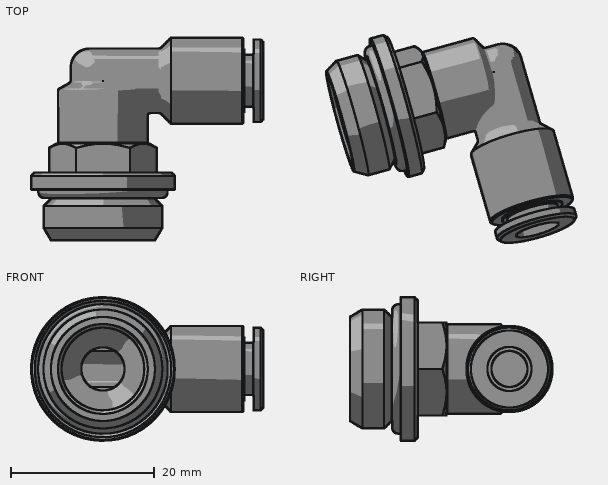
import cadquery as cq
import math


thread_radius = 8.27
thread_tip_radius = 7.25
thread_start = 1.75
thread_end = 4.78
neck_radius = thread_tip_radius
flange_radius = 20.0 / 2
flange_start = 7.0
flange_end = 9.45
flange_chamfer = 0.5
flange_front_chamfer = 0.13

ring_outer_radius = 9.0
ring_section_radius = (ring_outer_radius - neck_radius) / 2
ring_center_radius = neck_radius + ring_section_radius
ring_center = 6.75
recess_outer_radius = 9.5
recess_floor_radius = ring_outer_radius
recess_floor = ring_center + ring_section_radius

hex_across_flats = 13.0
hex_end = 13.45
hex_corner_radius = hex_across_flats / math.sqrt(3)
hex_chamfer_angle = math.radians(30)
hex_chamfer_height = (hex_corner_radius - hex_across_flats / 2) * math.tan(hex_chamfer_angle)

sleeve_radius = 12.5 / 2
sleeve_end = 21
sleeve_chamfer = 0.15

arm_radius = 9.0 / 2
body_radius = 6.0
total_length = 32.3
total_depth = 28.2
arm_axis = total_depth - body_radius
bend_radius = 2.65
bend_sections = 8
bend_rows = 40
sleeve_cone_angle = math.radians(30)
shoulder_end = sleeve_end + (sleeve_radius - arm_radius) * math.tan(sleeve_cone_angle)
blend_radius = 0.32
arm_blend_radius = 0.5
selection_margin = 0.03

body_cone_start = 7.98
socket_root_length = 0.65
arm_end = body_cone_start - socket_root_length
body_cone_end = body_cone_start + body_radius - arm_radius
body_end = 19.55
body_chamfer = 0.2
step_radius = 4.35
step_end = 19.7
collar_neck_radius = 3.65
collar_start = 20.95
collar_end = total_length - flange_radius
collar_radius = 5.75
collar_chamfer = 0.4
collar_root_fillet = 0.13

port_radius = 5.75
port_mouth_radius = 12.5 / 2
port_mouth_depth = port_mouth_radius - port_radius
port_depth = 8.72
drill_tip_angle = math.radians(30)
passage_radius = 3.0
drill_tip_end = port_depth + (port_radius - passage_radius) * math.tan(drill_tip_angle)
cross_bore_radius = 5.0 / 2
tube_radius = 3.07
tube_stop = body_cone_end


def turned_about_y(points):
    """Solid of revolution about the Y axis from (radius, y) points."""
    return cq.Workplane("XY").polyline(points).close().revolve(360, (0, 0), (0, 1))


def turned_about_arm(points):
    """Solid of revolution about the arm axis from (x, radius) points."""
    profile = cq.Workplane("XY", origin=(0, arm_axis, 0)).polyline(points).close()
    return profile.revolve(360, (0, 0), (1, 0))


def make_stem():
    """Thread, ring groove and flange with its ring recess."""
    return turned_about_y([
        (0, 0),
        (thread_tip_radius, 0),
        (thread_radius, thread_start),
        (thread_radius, thread_end),
        (neck_radius, thread_end + thread_radius - neck_radius),
        (neck_radius, recess_floor),
        (recess_floor_radius, recess_floor),
        (recess_outer_radius, flange_start),
        (flange_radius - flange_front_chamfer, flange_start),
        (flange_radius, flange_start + flange_front_chamfer),
        (flange_radius, flange_end - flange_chamfer),
        (flange_radius - flange_chamfer, flange_end),
        (0, flange_end),
    ])


def make_hexagon():
    """Hexagon with flats facing +Z and -Z and its upper corners chamfered."""
    prism = (
        cq.Workplane("XZ", origin=(0, flange_end, 0))
        .polygon(6, 2 * hex_corner_radius)
        .extrude(flange_end - hex_end)
    )
    envelope = turned_about_y([
        (0, flange_end),
        (hex_corner_radius, flange_end),
        (hex_corner_radius, hex_end - hex_chamfer_height),
        (hex_across_flats / 2, hex_end),
        (0, hex_end),
    ])
    return prism.intersect(envelope)


def bend_reach(angle):
    """Distance from the bend pivot to the rounded outer corner, at an angle above the -X direction."""
    to_arc_center = (arm_radius - bend_radius) * math.sqrt(2)
    from_diagonal = angle - math.pi / 4
    sideways = to_arc_center * math.sin(from_diagonal)
    return to_arc_center * math.cos(from_diagonal) + math.sqrt(bend_radius**2 - sideways**2)


def bend_point(angle, tilt):
    """Point on the rounded bend; tilt runs from 0 at the +Z pole to pi at the -Z pole."""
    outward = bend_reach(angle) * math.sin(tilt)
    return cq.Vector(-outward * math.cos(angle), outward * math.sin(angle), arm_radius * math.cos(tilt))


def make_fan():
    """Wedge of the bend whose rounding shrinks with the width of the section towards both poles."""
    start = math.atan2(arm_radius - bend_radius, arm_radius)
    step = (math.pi / 2 - 2 * start) / bend_sections
    tilts = [math.pi * j / bend_rows for j in range(bend_rows + 1)]
    grid = [[bend_point(start + i * step, tilt) for tilt in tilts] for i in range(bend_sections + 1)]
    outer = cq.Face.makeSplineApprox(grid, tol=1e-6, minDeg=3, maxDeg=8)
    rims = outer.Edges()
    pivot_line = cq.Edge.makeLine(rims[0].startPoint(), rims[0].endPoint())
    sides = [cq.Face.makeFromWires(cq.Wire.assembleEdges([rim, pivot_line])) for rim in rims]
    return cq.Workplane(cq.Solid.makeSolid(cq.Shell.makeShell([outer, *sides])))


def make_bend():
    """Outer corner of the elbow: two crossing half cylinders whose mitre is replaced by a smooth fan."""
    along_x = cq.Workplane("YZ").circle(arm_radius).extrude(-arm_radius)
    along_y = cq.Workplane("XZ").circle(arm_radius).extrude(-arm_radius)
    flat_length = arm_radius - bend_radius
    mitre = (
        cq.Workplane("XY")
        .polyline([
            (0, 0),
            (-arm_radius, flat_length),
            (-arm_radius, arm_radius),
            (-flat_length, arm_radius),
        ])
        .close()
        .extrude(arm_radius, both=True)
    )
    corner = along_x.intersect(along_y).cut(mitre).union(make_fan())
    return corner.translate((0, arm_axis, 0))


def make_elbow():
    """Sleeve with a conical shoulder, the arm leaving it along +X, and the rounded bend."""
    sleeve = turned_about_y([
        (0, hex_end),
        (sleeve_radius - sleeve_chamfer, hex_end),
        (sleeve_radius, hex_end + sleeve_chamfer),
        (sleeve_radius, sleeve_end),
        (arm_radius, shoulder_end),
        (arm_radius, arm_axis),
        (0, arm_axis),
    ])
    arm = turned_about_arm([(0, 0), (0, arm_radius), (arm_end, arm_radius), (arm_end, 0)])
    elbow = sleeve.union(arm).union(make_bend())
    shoulder_edges = cq.selectors.BoxSelector(
        (-sleeve_radius, arm_axis - arm_radius, -sleeve_radius),
        (sleeve_radius, shoulder_end + selection_margin, sleeve_radius),
    )
    return elbow.edges(shoulder_edges).fillet(blend_radius)


def make_socket():
    """Tube socket with its blended conical root, and the release collar."""
    socket = turned_about_arm([
        (arm_end, 0),
        (arm_end, arm_radius),
        (body_cone_start, arm_radius),
        (body_cone_end, body_radius),
        (body_end - body_chamfer, body_radius),
        (body_end, body_radius - body_chamfer),
        (body_end, step_radius),
        (step_end, step_radius),
        (step_end, collar_neck_radius),
        (collar_start - collar_root_fillet, collar_neck_radius),
        (collar_start, collar_neck_radius + collar_root_fillet),
        (collar_start, collar_radius),
        (collar_end - collar_chamfer, collar_radius),
        (collar_end, collar_radius - collar_chamfer),
        (collar_end, 0),
    ])
    cone_root = cq.selectors.BoxSelector(
        (body_cone_start - selection_margin, arm_axis - selection_margin, -selection_margin),
        (body_cone_start + selection_margin, arm_axis + selection_margin, selection_margin),
    )
    return socket.edges(cone_root).fillet(arm_blend_radius)


def make_passages():
    """Stem port with a drilled tip, and the arm bore opening into it."""
    port = turned_about_y([
        (0, 0),
        (port_mouth_radius, 0),
        (port_radius, port_mouth_depth),
        (port_radius, port_depth),
        (passage_radius, drill_tip_end),
        (passage_radius, arm_axis),
        (0, arm_axis),
    ])
    arm_bore = turned_about_arm([
        (-passage_radius, 0),
        (-passage_radius, cross_bore_radius),
        (tube_stop, cross_bore_radius),
        (tube_stop, tube_radius),
        (collar_end, tube_radius),
        (collar_end, 0),
    ])
    return port.union(arm_bore)


def make_sealing_ring():
    """Ring of round section seated on the neck and in the flange recess."""
    section = cq.Workplane("XY").center(ring_center_radius, ring_center).circle(ring_section_radius)
    return section.revolve(360, (-ring_center_radius, 0), (-ring_center_radius, 1))


elbow = make_elbow()
fitting = make_stem().union(make_hexagon()).union(elbow).union(make_socket()).cut(make_passages())
sealing_ring = make_sealing_ring()

result = cq.Compound.makeCompound([fitting.solids().val(), sealing_ring.val()])